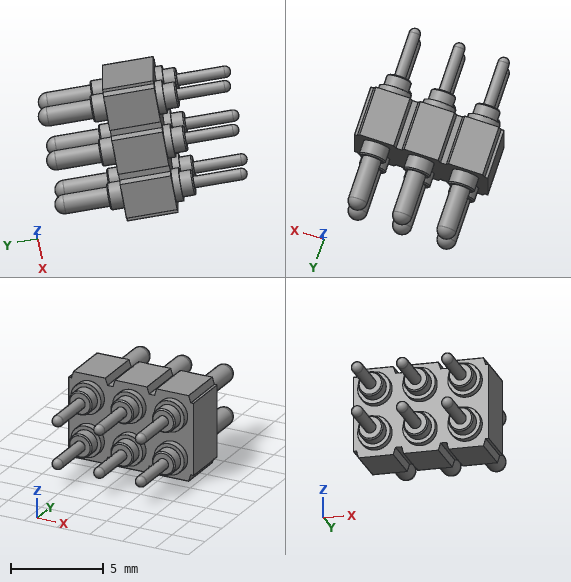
import cadquery as cq
import math

PITCH = 2.54
COLUMNS = 3
ROWS = 2

HOUSING_WIDTH = COLUMNS * PITCH
HOUSING_HEIGHT = ROWS * PITCH
HOUSING_DEPTH = 2.8
NOTCH_DEPTH = 0.4
NOTCH_MOUTH_WIDTH = 0.59
NOTCH_FLOOR_WIDTH = 0.33

PIN_LENGTH = 10.59
REAR_PROJECTION = 3.76

TAIL_DIAMETER = 0.64
COLLAR_DIAMETER = 1.4
FLANGE_DIAMETER = 1.83
BARREL_DIAMETER = 1.49
PLUNGER_DIAMETER = 1.06

FLANGE_LENGTH = 0.4
COLLAR_LENGTH = 0.71
BARREL_PROJECTION = 0.79
EDGE_BREAK = 0.07

REAR_TIP_Y = HOUSING_DEPTH + REAR_PROJECTION
FRONT_TIP_Y = REAR_TIP_Y - PIN_LENGTH
COLLAR_FRONT_Y = -FLANGE_LENGTH - COLLAR_LENGTH
BARREL_REAR_Y = HOUSING_DEPTH + BARREL_PROJECTION


def grid_positions(count):
    """Centres of a row of evenly pitched places, symmetric about zero."""
    return [(i - (count - 1) / 2) * PITCH for i in range(count)]


PIN_POSITIONS = [(x, z) for x in grid_positions(COLUMNS) for z in grid_positions(ROWS)]


def y_cylinder(diameter, y_start, y_end):
    """Cylinder on the Y axis between two stations."""
    return cq.Workplane("XZ", origin=(0, y_start, 0)).circle(diameter / 2).extrude(y_start - y_end)


def make_notch():
    """Tapered groove along Y, with its mouth on the housing top at X = 0."""
    top = HOUSING_HEIGHT / 2
    floor = top - NOTCH_DEPTH
    return (
        cq.Workplane("XZ")
        .moveTo(-NOTCH_MOUTH_WIDTH / 2, top)
        .lineTo(NOTCH_MOUTH_WIDTH / 2, top)
        .lineTo(NOTCH_FLOOR_WIDTH / 2, floor)
        .lineTo(-NOTCH_FLOOR_WIDTH / 2, floor)
        .close()
        .extrude(-HOUSING_DEPTH)
    )


def make_housing():
    """Block notched above and below between columns, half-notched at the ends, bored for pins."""
    housing = cq.Workplane("XZ").rect(HOUSING_WIDTH, HOUSING_HEIGHT).extrude(-HOUSING_DEPTH)

    top_notch = make_notch()
    bottom_notch = top_notch.mirror("XY")
    for x in grid_positions(COLUMNS + 1):
        housing = housing.cut(top_notch.translate((x, 0, 0)))
        housing = housing.cut(bottom_notch.translate((x, 0, 0)))

    bore = y_cylinder(BARREL_DIAMETER, 0, HOUSING_DEPTH)
    for x, z in PIN_POSITIONS:
        housing = housing.cut(bore.translate((x, 0, z)))
    return housing


def make_pin():
    """Turned pin on the Y axis: half profile revolved about its own centre line."""
    tail_radius = TAIL_DIAMETER / 2
    collar_radius = COLLAR_DIAMETER / 2
    flange_radius = FLANGE_DIAMETER / 2
    barrel_radius = BARREL_DIAMETER / 2
    plunger_radius = PLUNGER_DIAMETER / 2
    diagonal = math.sqrt(0.5)

    return (
        cq.Workplane("XY")
        .moveTo(0, FRONT_TIP_Y)
        .threePointArc(
            (tail_radius * diagonal, FRONT_TIP_Y + tail_radius * (1 - diagonal)),
            (tail_radius, FRONT_TIP_Y + tail_radius),
        )
        .lineTo(tail_radius, COLLAR_FRONT_Y)
        .lineTo(collar_radius - EDGE_BREAK, COLLAR_FRONT_Y)
        .lineTo(collar_radius, COLLAR_FRONT_Y + EDGE_BREAK)
        .lineTo(collar_radius, -FLANGE_LENGTH)
        .lineTo(flange_radius, -FLANGE_LENGTH)
        .lineTo(flange_radius, 0)
        .lineTo(barrel_radius, 0)
        .lineTo(barrel_radius, BARREL_REAR_Y - EDGE_BREAK)
        .lineTo(barrel_radius - EDGE_BREAK, BARREL_REAR_Y)
        .lineTo(plunger_radius, BARREL_REAR_Y)
        .lineTo(plunger_radius, REAR_TIP_Y - plunger_radius)
        .threePointArc(
            (plunger_radius * diagonal, REAR_TIP_Y - plunger_radius * (1 - diagonal)),
            (0, REAR_TIP_Y),
        )
        .close()
        .revolve(360, (0, 0, 0), (0, 1, 0))
    )


housing = make_housing()

pin = make_pin()
pins = [pin.translate((x, 0, z)) for x, z in PIN_POSITIONS]

result = cq.Compound.makeCompound([housing.val(), *[placed_pin.val() for placed_pin in pins]])